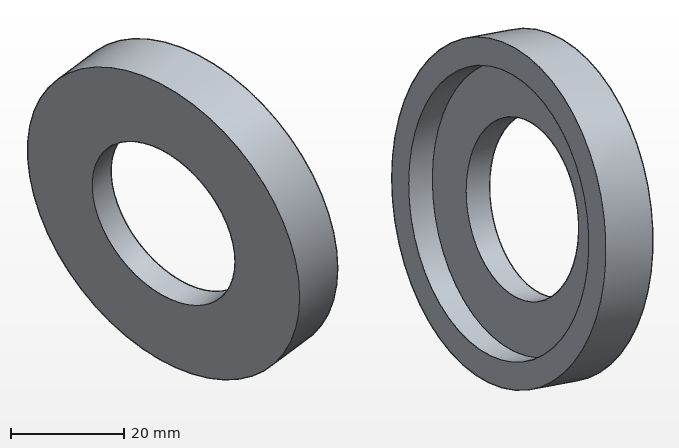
import cadquery as cq

outer_diameter = 63.0
bore_diameter = 33.0
thickness = 10.4

rim_width = 5.05
recess_diameter = outer_diameter - 2 * rim_width
recess_depth = thickness / 2

front_face = cq.Workplane("XZ", origin=(0, -thickness / 2, 0))
back_face = cq.Workplane("XZ", origin=(0, thickness / 2, 0))

ring = front_face.circle(outer_diameter / 2).circle(bore_diameter / 2).extrude(-thickness)
recess = back_face.circle(recess_diameter / 2).extrude(recess_depth)

result = ring.cut(recess)